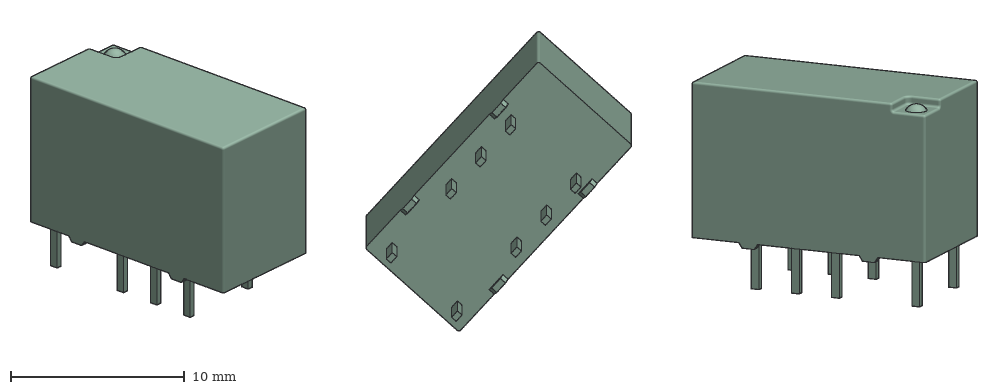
import cadquery as cq
import math

length = 14.8
width = 7.31
body_height = 9.2
edge_radius = 0.15

notch_size = 2.1
notch_depth = 0.5
notch_corner_radius = 0.31
dome_inset = 1.05
dome_radius = 0.62
dome_height = 0.35
dome_tip_radius = 0.06

foot_spacing = 7.6
foot_top_length = 1.18
foot_bottom_length = 0.75
foot_height = 0.31
foot_thickness = 0.4

pin_row_spacing = 5.08
pin_pitch = pin_row_spacing / 2
pin_length = 2.9
pin_width = 0.5
pin_thickness = 0.35
first_pin_inset = 1.04
pin_steps = (0, 2, 3, 4)

left = -length / 2
back = width / 2
notch_floor = body_height - notch_depth


def make_housing():
    """Box with a stepped corner; all edges except the bottom rim are rounded."""
    box = cq.Workplane("XY").box(length, width, body_height, centered=(True, True, False))
    notch = (
        cq.Workplane("XY")
        .box(2 * notch_size, 2 * notch_size, notch_depth, centered=(True, True, False))
        .edges("|Z")
        .fillet(notch_corner_radius)
        .translate((left, back, notch_floor))
    )
    stepped = box.cut(notch)
    stepped = stepped.faces(">Z[-2]").edges("not (<X or >Y)").fillet(edge_radius)
    stepped = stepped.faces(">Z").edges("not (<X or >X or <Y or >Y)").fillet(edge_radius)
    return stepped.faces("<X or >X or <Y or >Y").edges("not <Z").fillet(edge_radius)


def make_dome():
    """Spherical cap with a tiny flat tip, standing on the notch floor."""
    sphere_radius = (dome_radius**2 + dome_height**2) / (2 * dome_height)
    sphere_center_z = dome_height - sphere_radius
    tip_z = sphere_center_z + math.sqrt(sphere_radius**2 - dome_tip_radius**2)
    middle_x = dome_radius / 2
    middle_z = sphere_center_z + math.sqrt(sphere_radius**2 - middle_x**2)
    profile = (
        cq.Workplane("XZ")
        .lineTo(dome_radius, 0)
        .threePointArc((middle_x, middle_z), (dome_tip_radius, tip_z))
        .lineTo(0, tip_z)
        .close()
    )
    dome = profile.revolve(360, (0, 0, 0), (0, 1, 0))
    return dome.translate((left + dome_inset, back - dome_inset, notch_floor))


def make_foot(x, side):
    """Tapered foot flush with the long wall on the given side (-1 front, 1 back)."""
    outline = [
        (-foot_top_length / 2, 0),
        (foot_top_length / 2, 0),
        (foot_bottom_length / 2, -foot_height),
        (-foot_bottom_length / 2, -foot_height),
    ]
    foot = cq.Workplane("XZ").polyline(outline).close().extrude(foot_thickness / 2, both=True)
    return foot.translate((x, side * (width - foot_thickness) / 2, 0))


def make_pin(step, side):
    x = left + first_pin_inset + step * pin_pitch
    pin = cq.Workplane("XY").box(pin_width, pin_thickness, pin_length, centered=(True, True, False))
    return pin.translate((x, side * pin_row_spacing / 2, -pin_length))


result = make_housing().union(make_dome())
for side in (-1, 1):
    for x in (-foot_spacing / 2, foot_spacing / 2):
        result = result.union(make_foot(x, side))
    for step in pin_steps:
        result = result.union(make_pin(step, side))